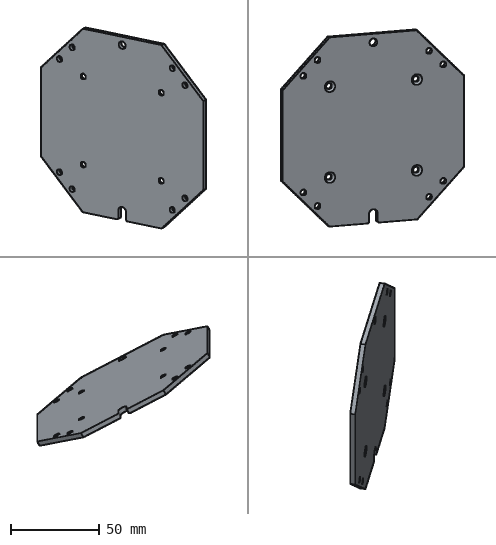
import cadquery as cq

plate_size = 110
plate_thickness = 3.0
corner_cut = 28.4
back_face_y = plate_thickness / 2

screw_hole_diameter = 3.4
inner_hole_offset = 26.4
pair_far_offset = 42.5
pair_near_offset = 33.9

countersink_diameter = 6.3
countersink_depth = (countersink_diameter - screw_hole_diameter) / 2

top_hole_diameter = 4.5
top_hole_height = 50.0

slot_width = 5.3
slot_depth = 8.0
slot_mouth_radius = 1.1


def make_plate():
    plate = cq.Workplane("XZ").box(plate_size, plate_size, plate_thickness)
    return plate.edges("|Y").chamfer(corner_cut)


def mirrored_points(x, z):
    """The point and its mirror images in all four quadrants."""
    return [(side * x, level * z) for side in (-1, 1) for level in (-1, 1)]


def through_holes(points, diameter):
    return (
        cq.Workplane("XZ")
        .pushPoints(points)
        .circle(diameter / 2)
        .extrude(plate_thickness / 2, both=True)
    )


def make_countersink(x, z):
    """Cone narrowing from the back face down to the screw hole."""
    return (
        cq.Workplane("XZ", origin=(x, back_face_y, z))
        .circle(countersink_diameter / 2)
        .workplane(offset=countersink_depth)
        .circle(screw_hole_diameter / 2)
        .loft()
    )


def make_slot():
    """Slot cutter whose mouth flares out to round the slot's two outer corners."""
    bottom = -plate_size / 2
    half_width = slot_width / 2
    half_mouth = half_width + slot_mouth_radius
    mouth_top = bottom + slot_mouth_radius
    slot_top = bottom + slot_depth
    arc_start = slot_top - half_width
    return (
        cq.Workplane("XZ")
        .moveTo(-half_mouth, bottom)
        .radiusArc((-half_width, mouth_top), -slot_mouth_radius)
        .lineTo(-half_width, arc_start)
        .threePointArc((0, slot_top), (half_width, arc_start))
        .lineTo(half_width, mouth_top)
        .radiusArc((half_mouth, bottom), -slot_mouth_radius)
        .close()
        .extrude(plate_thickness / 2, both=True)
    )


inner_hole_points = mirrored_points(inner_hole_offset, inner_hole_offset)
corner_hole_points = (
    mirrored_points(pair_far_offset, pair_near_offset)
    + mirrored_points(pair_near_offset, pair_far_offset)
)

result = (
    make_plate()
    .cut(through_holes(inner_hole_points + corner_hole_points, screw_hole_diameter))
    .cut(through_holes([(0, top_hole_height)], top_hole_diameter))
    .cut(make_slot())
)
for x, z in inner_hole_points:
    result = result.cut(make_countersink(x, z))